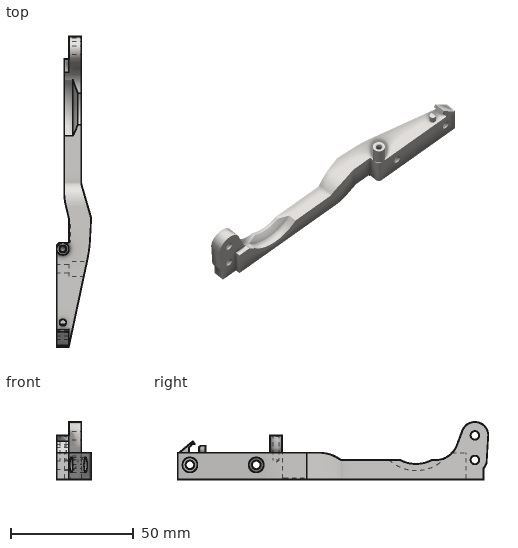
import cadquery as cq
import math


wide_end_height = 11.0
rail_height = 8.0
rail_left = 3.0
rail_right = 10.0
strip_width = 5.0
cut_margin = 1.0

max_width = 14.08
mount_length = 42.5
mount_corner_radius = 1.7
inner_bend_start = 52.0
inner_bend_angle = math.radians(13.5)
inner_arc_start = 57.3
inner_arc_end = 63.4
outer_taper_end = (12.6, 36.0)
outer_taper_start_y = 0.4
outer_arc_end = (13.6, 43.5)
outer_peak_y = 52.5
outer_rail_start_y = 66.6

tab_y = 121.0
tab_radius = 5.5
tab_hole_z = 18.0
lower_hole_z = 8.0
lower_lobe_radius = 4.9
tab_foot_y = 124.6
tab_slope_angle = math.radians(22.6)
tab_fillet_radius = 9.2
tab_fillet_end_y = 105.0
rail_end_y = 117.3

rise_start_y = 57.6
rise_radius = 14.4
rise_foot_radius = 2.4

seat_y = 97.0
seat_z = 20.0
seat_large_radius = 16.25
seat_small_radius = 13.6
seat_cone_start = 6.6
seat_cone_end = 8.6

relief_height = 0.8
relief_depth = 0.54
relief_end_y = 42.9

cross_hole_diameter = 3.4
head_diameter = 6.1
head_floor_x = strip_width
mount_hole_z = 6.0
mount_hole_ys = (5.0, 32.0)

post_x = strip_width / 2
standoff_y = 40.0
standoff_diameter = 5.0
standoff_top = 18.0
bore_diameter = 2.52
bore_depth = 10.0
bore_mouth_chamfer = 0.3
drill_half_angle = math.radians(59)
pin_y = 10.0
pin_diameter = 2.7
pin_top = 13.8
pin_chamfer = 0.75
hook_foot_y = 0.7
hook_back_y = 4.65
hook_bend_z = 13.1
hook_tip = (6.2, 15.65)
hook_barb = (7.0, 14.45)
hook_barb_root_y = 6.1


def extrude_along_x(sketch, length):
    """Close a (Y, Z) outline and extrude it in the +X direction."""
    return sketch.close().extrude(length)


def cylinder_x(y, z, diameter, x_start, x_end):
    plane = cq.Workplane("YZ", origin=(x_start, y, z))
    return plane.circle(diameter / 2).extrude(x_end - x_start)


def arc_point(center, radius, angle):
    return (center[0] + radius * math.cos(angle), center[1] + radius * math.sin(angle))


def plan_body():
    """Arm outline seen from above, tall enough for the tab."""
    arc_length = inner_arc_end - inner_arc_start
    arc_radius = arc_length / math.sin(inner_bend_angle)
    arc_center = (rail_left + arc_radius, inner_arc_end)
    bend_low = arc_point(arc_center, arc_radius, math.pi + inner_bend_angle)
    bend_middle = arc_point(arc_center, arc_radius, math.pi + inner_bend_angle / 2)
    tab_end = tab_y + tab_radius
    return (
        cq.Workplane("XY")
        .moveTo(0, 0)
        .lineTo(strip_width, 0)
        .lineTo(strip_width, outer_taper_start_y)
        .lineTo(*outer_taper_end)
        .tangentArcPoint(outer_arc_end, relative=False)
        .lineTo(max_width, outer_peak_y)
        .lineTo(rail_right, outer_rail_start_y)
        .lineTo(rail_right, tab_end)
        .lineTo(strip_width, tab_end)
        .lineTo(strip_width, rail_end_y)
        .lineTo(rail_left, rail_end_y)
        .lineTo(rail_left, inner_arc_end)
        .threePointArc(bend_middle, bend_low)
        .lineTo(strip_width, inner_bend_start)
        .lineTo(strip_width, mount_length)
        .lineTo(mount_corner_radius, mount_length)
        .radiusArc((0, mount_length - mount_corner_radius), -mount_corner_radius)
        .close()
        .extrude(tab_hole_z + tab_radius)
    )


def side_profile():
    """Arm outline seen along X, from the wide end up to the round tab."""
    rise_center = (rise_start_y, wide_end_height - rise_radius)
    foot_z = rail_height + rise_foot_radius
    center_distance = rise_radius + rise_foot_radius
    foot_angle = math.asin((foot_z - rise_center[1]) / center_distance)
    foot_y = rise_start_y + center_distance * math.cos(foot_angle)
    rise_foot = arc_point(rise_center, rise_radius, foot_angle)
    rise_middle = arc_point(rise_center, rise_radius, (foot_angle + math.pi / 2) / 2)
    foot_middle_angle = math.pi + (foot_angle + math.pi / 2) / 2
    foot_middle = arc_point((foot_y, foot_z), rise_foot_radius, foot_middle_angle)

    fillet_center = (tab_fillet_end_y, rail_height + tab_fillet_radius)
    slope_low = arc_point(fillet_center, tab_fillet_radius, -tab_slope_angle)
    fillet_middle = arc_point(fillet_center, tab_fillet_radius, -(tab_slope_angle + math.pi / 2) / 2)
    tab_center = (tab_y, tab_hole_z)
    slope_high = arc_point(tab_center, tab_radius, math.pi - tab_slope_angle)
    back_angle = math.asin((tab_radius - lower_lobe_radius) / (tab_hole_z - lower_hole_z))
    back_high = arc_point(tab_center, tab_radius, back_angle)
    lobe_center = (tab_y, lower_hole_z)
    back_low = arc_point(lobe_center, lower_lobe_radius, back_angle)
    lobe_end_angle = -math.acos((tab_foot_y - tab_y) / lower_lobe_radius)
    lobe_end = arc_point(lobe_center, lower_lobe_radius, lobe_end_angle)
    lobe_middle = arc_point(lobe_center, lower_lobe_radius, (back_angle + lobe_end_angle) / 2)

    outline = (
        cq.Workplane("YZ")
        .moveTo(0, 0)
        .lineTo(0, wide_end_height)
        .lineTo(rise_start_y, wide_end_height)
        .threePointArc(rise_middle, rise_foot)
        .threePointArc(foot_middle, (foot_y, rail_height))
        .lineTo(tab_fillet_end_y, rail_height)
        .threePointArc(fillet_middle, slope_low)
        .lineTo(*slope_high)
        .threePointArc((tab_y, tab_hole_z + tab_radius), back_high)
        .lineTo(*back_low)
        .threePointArc(lobe_middle, lobe_end)
        .lineTo(tab_foot_y, 0)
    )
    return extrude_along_x(outline, max_width)


def space_above_shoulder():
    """Open space beside the tab, above the shoulder at the end of the rail."""
    depth = strip_width - rail_left
    length = rail_end_y - tab_fillet_end_y
    height = tab_hole_z + tab_radius - wide_end_height
    corner = (rail_left, tab_fillet_end_y, wide_end_height)
    return cq.Workplane("XY", origin=corner).box(depth, length, height, centered=False)


def round_seat():
    """Large bore, conical step and small bore on one axis along X."""
    return (
        cq.Workplane("XY")
        .moveTo(0, 0)
        .lineTo(0, seat_large_radius)
        .lineTo(seat_cone_start, seat_large_radius)
        .lineTo(seat_cone_end, seat_small_radius)
        .lineTo(rail_right + cut_margin, seat_small_radius)
        .lineTo(rail_right + cut_margin, 0)
        .close()
        .revolve(360, (0, 0, 0), (1, 0, 0))
        .translate((0, seat_y, seat_z))
    )


def edge_relief():
    """Shallow undercut that carries the sloping inner wall past the bend."""
    relief_x = strip_width + relief_depth
    slope_end_y = inner_bend_start - relief_depth / math.tan(inner_bend_angle)
    return (
        cq.Workplane("XY")
        .moveTo(strip_width, inner_bend_start)
        .lineTo(relief_x, slope_end_y)
        .lineTo(relief_x, relief_end_y)
        .lineTo(strip_width, relief_end_y)
        .close()
        .extrude(relief_height)
    )


def cross_holes():
    places = [(tab_y, tab_hole_z), (tab_y, lower_hole_z)]
    places += [(y, mount_hole_z) for y in mount_hole_ys]
    holes = cq.Workplane("YZ").pushPoints(places).circle(cross_hole_diameter / 2).extrude(max_width)
    for y in mount_hole_ys:
        holes = holes.union(cylinder_x(y, mount_hole_z, head_diameter, head_floor_x, max_width))
    return holes


def standoff():
    base = cq.Workplane("XY", origin=(post_x, standoff_y, 0))
    return base.circle(standoff_diameter / 2).extrude(standoff_top)


def standoff_bore():
    """Blind drilled bore with a chamfered mouth and a conical end."""
    radius = bore_diameter / 2
    mouth_radius = radius + bore_mouth_chamfer
    tip_depth = bore_depth + radius / math.tan(drill_half_angle)
    return (
        cq.Workplane("XZ")
        .moveTo(0, 0)
        .lineTo(mouth_radius, 0)
        .lineTo(radius, -bore_mouth_chamfer)
        .lineTo(radius, -bore_depth)
        .lineTo(0, -tip_depth)
        .close()
        .revolve(360, (0, 0, 0), (0, 1, 0))
        .translate((post_x, standoff_y, standoff_top))
    )


def pin():
    """Short round pin with one flat chamfer facing the hook."""
    height = pin_top - wide_end_height
    base = cq.Workplane("XY", origin=(post_x, pin_y, wide_end_height))
    post = base.circle(pin_diameter / 2).extrude(height)
    front_y = pin_y - pin_diameter / 2
    chamfer = (
        cq.Workplane("YZ")
        .moveTo(front_y, pin_top - pin_chamfer)
        .lineTo(front_y, pin_top)
        .lineTo(front_y + pin_chamfer, pin_top)
    )
    return post.cut(extrude_along_x(chamfer, strip_width))


def hook():
    """Leaning hook with a barbed tip, as wide as the narrow end of the arm."""
    outline = (
        cq.Workplane("YZ")
        .moveTo(hook_foot_y, wide_end_height)
        .lineTo(*hook_tip)
        .lineTo(*hook_barb)
        .lineTo(hook_barb_root_y, hook_barb[1])
        .lineTo(hook_back_y, hook_bend_z)
        .lineTo(hook_back_y, wide_end_height)
    )
    return extrude_along_x(outline, strip_width)


arm = plan_body().intersect(side_profile())
arm = arm.cut(space_above_shoulder()).cut(round_seat()).cut(edge_relief())
arm = arm.union(standoff()).union(pin()).union(hook())
result = arm.cut(cross_holes()).cut(standoff_bore())